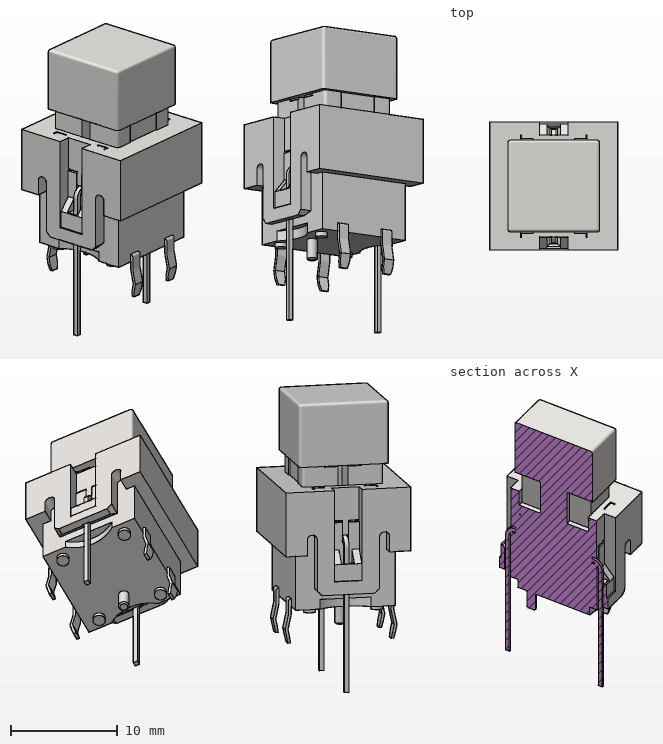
import cadquery as cq
import math


CAP_TOP = 27.5
CAP_HEIGHT = 6.0
COVER_TOP = 19.5
COVER_HEIGHT = 6.1
BODY_BOTTOM = 7.98
CAP_BOTTOM = CAP_TOP - CAP_HEIGHT
COVER_BOTTOM = COVER_TOP - COVER_HEIGHT

CAP_SIZE = 8.6
CAP_FILLET = 0.28
PLUNGER_X = 7.75
PLUNGER_Y = 7.6
PLUNGER_FILLET = 0.3
PLUNGER_SLOT_WIDTH = 0.94
PLUNGER_SLOT_DEPTH = 1.65
LED_DIAMETER = 3.0
SIDE_RECESS_WIDTH = 3.82
SIDE_RECESS_DEPTH = 0.1
LATCH_NOTCH_WIDTH = 3.55
LATCH_NOTCH_HEIGHT = 0.2
LATCH_NOTCH_DEPTH = 0.1

COVER_SIZE = 12.0
BODY_SIZE = 9.6
COVER_FACE = COVER_SIZE / 2
BODY_FACE = BODY_SIZE / 2
TAB_WIDTH = 6.0
TAB_BOTTOM = 9.52
TAB_CORNER = 0.47
TAB_INNER_BEVEL = 0.5
RELIEF_WIDTH = 0.95
RELIEF_TOP = 15.35
SEAM_WIDTH = 0.1
SEAM_DEPTH = 0.55
SEAM_Y = 4.32
SEAM_INNER_X = 1.95

WINDOW_WIDTH = 2.65
WINDOW_BOTTOM = 10.78
WINDOW_BACK = 4.75
GUIDE_FACE = 5.83
GUIDE_TOP = 12.38
RAMP_TOP = 13.55
WELL_WIDTH = 1.25
PANEL_TOP = 16.17
PANEL_GAP = 0.16
PANEL_GAP_DEPTH = 0.28
PANEL_SLOT_WIDTH = 0.6
PANEL_SLOT_BOTTOM = 14.3
PEEP_WIDTH = 0.15
LEAD_HOLE_WIDTH = 0.7
LEAD_HOLE_OUTER = 5.4
FUNNEL_OUTER = 5.65
FUNNEL_DEPTH = 0.3

LEAD_SIZE = 0.45
LEAD_Y = 5.12
LEAD_TOP = 14.82
LEAD_BEND_RADIUS = 1.02
LEAD_INNER_END = 3.58
LEAD_OPENING_TOP = 14.95
LEAD_OPENING_DEPTH = 0.55

FOOT_DIAMETER = 1.15
FOOT_HEIGHT = 0.4
FOOT_X = 3.22
FOOT_Y = 3.77
PIN_DIAMETER = 1.0
PIN_LENGTH = 1.95
PIN_CHAMFER = 0.15
PIN_Y = 2.5
SCALLOP_DIAMETER = 7.98
SCALLOP_WIDTH = 4.87
SCALLOP_HEIGHT = 0.94

LEG_Y = 2.5
LEG_WIDTH = 1.07
LEG_THICKNESS = 0.28
LEG_TOP = 8.75
LEG_FIRST_BEND = 7.2
LEG_SECOND_BEND = 5.8
LEG_BOTTOM = 4.45
LEG_BULGE = 0.3
LEG_TIP_RETURN = 0.28
LEG_TIP_WIDTH = 0.75
LEG_TAPER_HEIGHT = 0.6


def block(x_range, y_range, z_range):
    """Box between the given limits."""
    size = [high - low for low, high in (x_range, y_range, z_range)]
    corner = (x_range[0], y_range[0], z_range[0])
    return cq.Workplane("XY").box(*size, centered=False).translate(corner)


def centred_block(width, y_range, z_range):
    """Box of the given X width, centred on X = 0."""
    return block((-width / 2, width / 2), y_range, z_range)


def yz_prism(points, width):
    """Outline of (Y, Z) points extruded to a width centred on X = 0."""
    return cq.Workplane("YZ").polyline(points).close().extrude(width / 2, both=True)


def mirrored_y(shape):
    """Shape together with its copy on the opposite Y side."""
    return shape.union(shape.mirror("XZ"))


def mirrored_x(shape):
    """Shape together with its copy on the opposite X side."""
    return shape.union(shape.mirror("YZ"))


def make_cap():
    cap = centred_block(CAP_SIZE, (-CAP_SIZE / 2, CAP_SIZE / 2), (CAP_BOTTOM, CAP_TOP))
    return cap.edges("|Z or >Z").fillet(CAP_FILLET)


def make_plunger():
    half_x = PLUNGER_X / 2
    half_y = PLUNGER_Y / 2
    height = (COVER_TOP, CAP_BOTTOM)
    plunger = centred_block(PLUNGER_X, (-half_y, half_y), height)
    plunger = plunger.edges("|Z").fillet(PLUNGER_FILLET)

    side_recess = block(
        (half_x - SIDE_RECESS_DEPTH, half_x),
        (-SIDE_RECESS_WIDTH / 2, SIDE_RECESS_WIDTH / 2),
        height,
    )
    latch_notch = centred_block(
        LATCH_NOTCH_WIDTH,
        (half_y - LATCH_NOTCH_DEPTH, half_y),
        (CAP_BOTTOM - LATCH_NOTCH_HEIGHT, CAP_BOTTOM),
    )
    return plunger.cut(mirrored_x(side_recess)).cut(mirrored_y(latch_notch))


def make_plunger_slot():
    """Slot along Y through the plunger and into the housing, leaving the LED standing."""
    slot_bottom = COVER_TOP - PLUNGER_SLOT_DEPTH
    slot = centred_block(
        PLUNGER_SLOT_WIDTH, (-PLUNGER_Y / 2, PLUNGER_Y / 2), (slot_bottom, CAP_BOTTOM)
    )
    led = cq.Workplane("XY").workplane(offset=slot_bottom).circle(LED_DIAMETER / 2)
    return slot.cut(led.extrude(CAP_BOTTOM - slot_bottom))


def make_tab():
    """Clip tab hanging from the cover on the +Y side, bevelled along its inner bottom edge."""
    tab = centred_block(TAB_WIDTH, (BODY_FACE, COVER_FACE), (TAB_BOTTOM, COVER_TOP))
    tab = tab.edges("|Y and <Z").chamfer(TAB_CORNER)
    bevel = [
        (BODY_FACE, TAB_BOTTOM),
        (BODY_FACE + TAB_INNER_BEVEL, TAB_BOTTOM),
        (BODY_FACE, TAB_BOTTOM + TAB_INNER_BEVEL),
    ]
    return tab.cut(yz_prism(bevel, TAB_WIDTH))


def make_relief_slot():
    """Round-topped slot through the cover wall beside the +Y tab."""
    radius = RELIEF_WIDTH / 2
    inner_x = TAB_WIDTH / 2
    outer_x = inner_x + RELIEF_WIDTH
    profile = (
        cq.Workplane("XZ")
        .moveTo(inner_x, COVER_BOTTOM)
        .lineTo(inner_x, RELIEF_TOP - radius)
        .threePointArc((inner_x + radius, RELIEF_TOP), (outer_x, RELIEF_TOP - radius))
        .lineTo(outer_x, COVER_BOTTOM)
        .close()
    )
    slot = profile.extrude(-(COVER_FACE - BODY_FACE)).translate((0, BODY_FACE, 0))
    return mirrored_x(slot)


def make_seams():
    """Narrow L-shaped gaps in the top face between the cover and the body, +Y side."""
    outer_x = TAB_WIDTH / 2 + SEAM_WIDTH
    depth = (COVER_TOP - SEAM_DEPTH, COVER_TOP)
    across = block((SEAM_INNER_X, outer_x), (SEAM_Y, SEAM_Y + SEAM_WIDTH), depth)
    along = block((TAB_WIDTH / 2, outer_x), (SEAM_Y, BODY_FACE), depth)
    return mirrored_x(across.union(along))


def make_window():
    """Everything removed to open the window of the +Y tab."""
    opening = centred_block(WINDOW_WIDTH, (BODY_FACE, COVER_FACE), (WINDOW_BOTTOM, COVER_TOP))
    upper_back = centred_block(WINDOW_WIDTH, (WINDOW_BACK, BODY_FACE), (PANEL_TOP, COVER_TOP))
    panel_slot = centred_block(
        PANEL_SLOT_WIDTH, (WINDOW_BACK, BODY_FACE), (PANEL_SLOT_BOTTOM, PANEL_TOP)
    )
    lead_opening = centred_block(
        PANEL_SLOT_WIDTH,
        (BODY_FACE - LEAD_OPENING_DEPTH, BODY_FACE),
        (PANEL_SLOT_BOTTOM, LEAD_OPENING_TOP),
    )

    gap = block(
        (PANEL_SLOT_WIDTH / 2, WINDOW_WIDTH / 2),
        (BODY_FACE - PANEL_GAP_DEPTH, BODY_FACE),
        (PANEL_TOP, PANEL_TOP + PANEL_GAP),
    )
    recess = opening.union(upper_back).union(panel_slot)
    return recess.union(lead_opening).union(mirrored_x(gap))


def make_peep_holes():
    """Two small holes from the front panel gap through to the one on the far side."""
    inner_x = PANEL_SLOT_WIDTH / 2
    hole = block(
        (inner_x, inner_x + PEEP_WIDTH),
        (-BODY_FACE, BODY_FACE),
        (PANEL_TOP, PANEL_TOP + PANEL_GAP),
    )
    return mirrored_x(hole)


def make_lead_guide():
    """Ramped block in the +Y window."""
    profile = [
        (BODY_FACE, WINDOW_BOTTOM),
        (GUIDE_FACE, WINDOW_BOTTOM),
        (GUIDE_FACE, GUIDE_TOP),
        (BODY_FACE, RAMP_TOP),
    ]
    well = centred_block(WELL_WIDTH, (BODY_FACE, GUIDE_FACE), (GUIDE_TOP, RAMP_TOP))
    return yz_prism(profile, WINDOW_WIDTH).cut(well)


def make_lead_hole():
    """Rectangular lead hole down through the +Y guide and tab, with a funnel on top."""
    hole_depth = LEAD_HOLE_OUTER - BODY_FACE
    mouth_depth = FUNNEL_OUTER - BODY_FACE
    funnel = (
        cq.Workplane("XY")
        .workplane(offset=GUIDE_TOP)
        .center(0, BODY_FACE + mouth_depth / 2)
        .rect(WELL_WIDTH, mouth_depth)
        .workplane(offset=-FUNNEL_DEPTH)
        .center(0, (hole_depth - mouth_depth) / 2)
        .rect(LEAD_HOLE_WIDTH, hole_depth)
        .loft(ruled=True)
    )
    shaft = centred_block(LEAD_HOLE_WIDTH, (BODY_FACE, LEAD_HOLE_OUTER), (TAB_BOTTOM, GUIDE_TOP))
    return shaft.union(funnel)


def make_lead():
    """Square LED lead on the +Y side, bent at the top to run into the body."""
    outer_y = LEAD_Y + LEAD_SIZE / 2
    inner_y = outer_y - LEAD_SIZE
    bend_y = outer_y - LEAD_BEND_RADIUS
    bend_z = LEAD_TOP - LEAD_BEND_RADIUS
    inner_radius = LEAD_BEND_RADIUS - LEAD_SIZE
    diagonal = math.sqrt(0.5)
    outer_mid = (bend_y + LEAD_BEND_RADIUS * diagonal, bend_z + LEAD_BEND_RADIUS * diagonal)
    inner_mid = (bend_y + inner_radius * diagonal, bend_z + inner_radius * diagonal)
    profile = (
        cq.Workplane("YZ")
        .moveTo(inner_y, 0)
        .lineTo(outer_y, 0)
        .lineTo(outer_y, bend_z)
        .threePointArc(outer_mid, (bend_y, LEAD_TOP))
        .lineTo(LEAD_INNER_END, LEAD_TOP)
        .lineTo(LEAD_INNER_END, LEAD_TOP - LEAD_SIZE)
        .lineTo(bend_y, LEAD_TOP - LEAD_SIZE)
        .threePointArc(inner_mid, (inner_y, bend_z))
        .close()
    )
    return profile.extrude(LEAD_SIZE / 2, both=True)


def make_scallop():
    """Round-backed recess in the bottom edge of the +Y body face."""
    radius = SCALLOP_DIAMETER / 2
    centre_y = BODY_FACE + math.sqrt(radius**2 - (SCALLOP_WIDTH / 2) ** 2)
    disc = cq.Workplane("XY").workplane(offset=BODY_BOTTOM).center(0, centre_y).circle(radius)
    return disc.extrude(SCALLOP_HEIGHT)


def make_feet_and_pin():
    underside = cq.Workplane("XY").workplane(offset=BODY_BOTTOM)
    feet = (
        underside.rect(2 * FOOT_X, 2 * FOOT_Y, forConstruction=True)
        .vertices()
        .circle(FOOT_DIAMETER / 2)
        .extrude(-FOOT_HEIGHT)
    )
    pin = underside.center(0, PIN_Y).circle(PIN_DIAMETER / 2).extrude(-PIN_LENGTH)
    pin = pin.faces("<Z").chamfer(PIN_CHAMFER)
    return feet.union(pin)


def make_leg():
    """Kinked snap-in leg on the +X side with a tapered tip."""
    inner_x = BODY_FACE
    bulge_x = inner_x + LEG_BULGE
    tip_x = bulge_x - LEG_TIP_RETURN
    inner_edge = [
        (inner_x, LEG_TOP),
        (inner_x, LEG_FIRST_BEND),
        (bulge_x, LEG_SECOND_BEND),
        (tip_x, LEG_BOTTOM),
    ]
    outer_edge = [(x + LEG_THICKNESS, z) for x, z in reversed(inner_edge[1:])]
    corner_offset = LEG_THICKNESS * math.sqrt(0.5)
    strip = (
        cq.Workplane("XZ")
        .polyline(inner_edge + outer_edge)
        .lineTo(inner_x + LEG_THICKNESS, LEG_TOP - LEG_THICKNESS)
        .threePointArc(
            (inner_x + corner_offset, LEG_TOP - LEG_THICKNESS + corner_offset),
            (inner_x, LEG_TOP),
        )
        .close()
        .extrude(LEG_WIDTH / 2, both=True)
    )
    half_width = LEG_WIDTH / 2
    half_tip = LEG_TIP_WIDTH / 2
    taper_top = LEG_BOTTOM + LEG_TAPER_HEIGHT
    tapered_outline = [
        (-half_tip, LEG_BOTTOM),
        (half_tip, LEG_BOTTOM),
        (half_width, taper_top),
        (half_width, LEG_TOP),
        (-half_width, LEG_TOP),
        (-half_width, taper_top),
    ]
    return strip.intersect(yz_prism(tapered_outline, COVER_SIZE)).translate((0, LEG_Y, 0))


body = centred_block(BODY_SIZE, (-BODY_FACE, BODY_FACE), (BODY_BOTTOM, COVER_TOP))
cover = centred_block(COVER_SIZE, (-COVER_FACE, COVER_FACE), (COVER_BOTTOM, COVER_TOP))
housing = cover.cut(mirrored_y(make_relief_slot())).union(body).union(mirrored_y(make_tab()))
housing = housing.cut(mirrored_y(make_window())).cut(make_peep_holes())
housing = housing.union(mirrored_y(make_lead_guide())).cut(mirrored_y(make_lead_hole()))
housing = housing.cut(mirrored_y(make_seams())).cut(mirrored_y(make_scallop()))

result = housing.union(make_plunger()).cut(make_plunger_slot()).union(make_cap())
result = result.union(mirrored_y(make_lead())).union(make_feet_and_pin())
result = result.union(mirrored_x(mirrored_y(make_leg())))